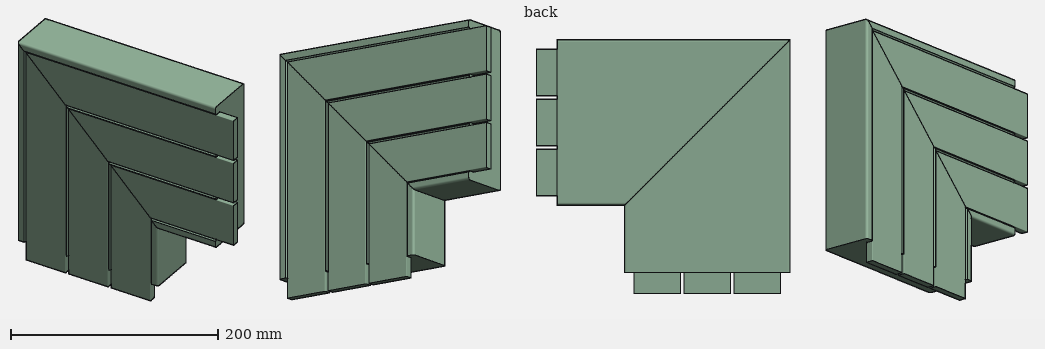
import cadquery as cq

overall_length = 245.0
housing_width = 160.0
housing_depth = 53.0
housing_edge_radius = 2.5
strip_overhang = 20.0
housing_length = overall_length - strip_overhang

strip_count = 3
strip_width = 45.0
strip_thickness = 7.5
strip_recess = 1.0
strip_edge_radius = 0.5
rib_width = 3.2
groove_lip_radius = 1.5

strip_pitch = strip_width + rib_width
strips_span = strip_count * strip_pitch - rib_width
border_width = (housing_width - strips_span) / 2

mitre_normal = cq.Vector(1, 0, 1)


def strip_offset(index):
    """Distance from the outer side of the elbow to the outer side of a strip."""
    return border_width + index * strip_pitch


def downward_bar(offset, front, width, depth, length, edge_radius):
    """Bar with rounded long edges that runs down from Z = 0."""
    bar = cq.Workplane("XY").box(width, depth, length, centered=False)
    return bar.edges("|Z").fillet(edge_radius).translate((offset, front, -length))


def strip_bar(index):
    """Full-length strip before its mitre cut."""
    return downward_bar(
        strip_offset(index), strip_recess, strip_width, strip_thickness, overall_length, strip_edge_radius
    )


def groove_mouth(index):
    """Space in front of a strip, with sides that curve outward to the housing front face."""
    left = strip_offset(index)
    right = left + strip_width
    radius = groove_lip_radius
    return (
        cq.Workplane("XY")
        .moveTo(left - radius, 0)
        .radiusArc((left, radius), radius)
        .lineTo(right, radius)
        .radiusArc((right + radius, 0), radius)
        .close()
        .extrude(-housing_length)
    )


def mitred(bar):
    """Keep the part of a downward bar below the 45 degree mitre plane X + Z = 0."""
    below_mitre = (
        cq.Workplane("XZ")
        .polyline([(0, 0), (overall_length, -overall_length), (0, -overall_length)])
        .close()
        .extrude(-housing_depth)
    )
    return bar.intersect(below_mitre)


def across_mitre(leg):
    """Mirror image of a downward leg, running along X."""
    return leg.mirror(mitre_normal)


def housing_leg():
    """Downward housing leg with one close-fitting groove per strip."""
    leg = downward_bar(0, 0, housing_width, housing_depth, housing_length, housing_edge_radius)
    for index in range(strip_count):
        leg = leg.cut(strip_bar(index)).cut(groove_mouth(index))
    return mitred(leg)


def strip_leg(index):
    """Downward leg of one strip."""
    return mitred(strip_bar(index))


downward_legs = [housing_leg()]
for strip_index in range(strip_count):
    downward_legs.append(strip_leg(strip_index))
sideways_legs = [across_mitre(leg) for leg in downward_legs]

result = cq.Compound.makeCompound([leg.solids().val() for leg in downward_legs + sideways_legs])